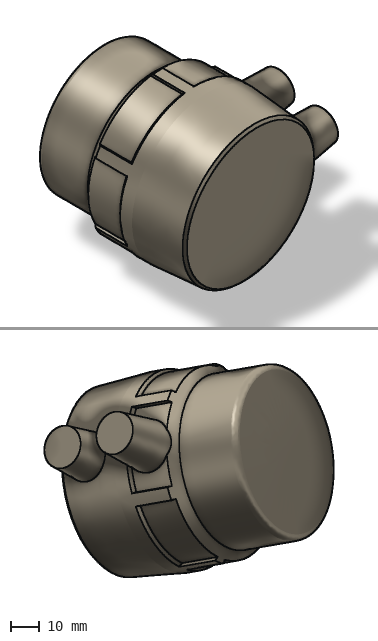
import cadquery as cq
import math

BODY_LENGTH = 72.86
CAP_DIAMETER = 62.0
BODY_DIAMETER = 70.68
DOME_HEIGHT = 1.25
CAP_EDGE_FILLET = 2.3
CAP_END_X = 24.9
TAPER_START_X = 49.7
TAPER_END_DIAMETER = 67.2
REAR_CHAMFER = 1.1

RIB_COUNT = 6
RIB_WIDTH = 4.8
POCKET_DEPTH = 1.15
POCKET_END_X = 44.1

SPIGOT_TIP_DIAMETER = 15.2
SPIGOT_TAPER = math.radians(5)
SPIGOT_ROOT_Y = 25.0
FRONT_SPIGOT_X = 36.3
FRONT_SPIGOT_TIP_Y = 54.0
REAR_SPIGOT_X = 61.7
REAR_SPIGOT_TIP_Y = 48.6

cap_radius = CAP_DIAMETER / 2
body_radius = BODY_DIAMETER / 2
taper_end_radius = TAPER_END_DIAMETER / 2
shoulder_end_x = CAP_END_X + body_radius - cap_radius
dome_radius = (cap_radius**2 + DOME_HEIGHT**2) / (2 * DOME_HEIGHT)


def revolve_about_x(profile):
    return profile.close().revolve(360, (0, 0, 0), (1, 0, 0))


def make_body():
    mid_radius = cap_radius / 2
    dome_mid = (dome_radius - math.sqrt(dome_radius**2 - mid_radius**2), mid_radius)
    profile = (
        cq.Workplane("XY")
        .threePointArc(dome_mid, (DOME_HEIGHT, cap_radius))
        .lineTo(CAP_END_X, cap_radius)
        .lineTo(shoulder_end_x, body_radius)
        .lineTo(TAPER_START_X, body_radius)
        .lineTo(BODY_LENGTH - REAR_CHAMFER, taper_end_radius)
        .lineTo(BODY_LENGTH, taper_end_radius - REAR_CHAMFER)
        .lineTo(BODY_LENGTH, 0)
    )
    body = revolve_about_x(profile)
    dome_rim = cq.selectors.NearestToPointSelector((DOME_HEIGHT, 0, 0))
    return body.edges(dome_rim).fillet(CAP_EDGE_FILLET)


def make_pocket_ring():
    """Ring to cut away: cylindrical floor, 45 degree rear wall, interrupted at the ribs."""
    floor_radius = body_radius - POCKET_DEPTH
    clear_radius = body_radius + POCKET_DEPTH
    ring_profile = (
        cq.Workplane("XY")
        .moveTo(CAP_END_X, floor_radius)
        .lineTo(POCKET_END_X - POCKET_DEPTH, floor_radius)
        .lineTo(POCKET_END_X + POCKET_DEPTH, clear_radius)
        .lineTo(CAP_END_X, clear_radius)
    )
    ring = revolve_about_x(ring_profile)
    rib_length = POCKET_END_X + POCKET_DEPTH - CAP_END_X
    rib_height = clear_radius + POCKET_DEPTH
    rib = cq.Workplane("XY").box(rib_length, RIB_WIDTH, rib_height, centered=(False, True, False))
    rib = rib.translate((CAP_END_X, 0, 0))
    for index in range(RIB_COUNT):
        ring = ring.cut(rib.rotate((0, 0, 0), (1, 0, 0), index * 360 / RIB_COUNT))
    return ring


def make_spigot(center_x, tip_y):
    tip_radius = SPIGOT_TIP_DIAMETER / 2
    length = tip_y - SPIGOT_ROOT_Y
    root_radius = tip_radius + length * math.tan(SPIGOT_TAPER)
    cone = cq.Solid.makeCone(
        root_radius, tip_radius, length, cq.Vector(center_x, SPIGOT_ROOT_Y, 0), cq.Vector(0, 1, 0)
    )
    return cq.Workplane(cone)


result = make_body().cut(make_pocket_ring())
result = result.union(make_spigot(FRONT_SPIGOT_X, FRONT_SPIGOT_TIP_Y))
result = result.union(make_spigot(REAR_SPIGOT_X, REAR_SPIGOT_TIP_Y))